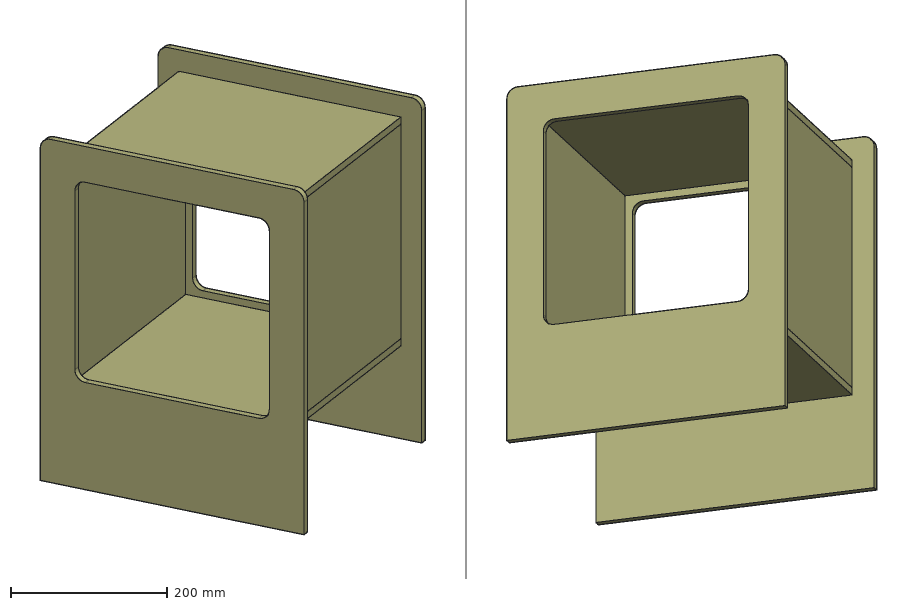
import cadquery as cq

plate_width = 380.0
plate_height = 480.0
overall_depth = 340.0

board_thickness = 10.0
plate_corner_radius = 15.0

duct_size = 320.0
duct_drop = 30.0
duct_length = overall_depth - 2 * board_thickness
duct_center_z = plate_height - duct_drop - duct_size / 2

window_size = 280.0
window_corner_radius = 15.0

plate_offset = (overall_depth - board_thickness) / 2
panel_offset = (duct_size - board_thickness) / 2


def make_end_plate(center_y):
    """Upright plate with rounded top corners and a rounded square window."""
    plate = (
        cq.Workplane("XY")
        .box(plate_width, board_thickness, plate_height)
        .translate((0, center_y, plate_height / 2))
        .edges("|Y and >Z")
        .fillet(plate_corner_radius)
    )
    window = (
        cq.Workplane("XY")
        .box(window_size, board_thickness, window_size)
        .edges("|Y")
        .fillet(window_corner_radius)
        .translate((0, center_y, duct_center_z))
    )
    return plate.cut(window)


def make_horizontal_panel(center_z):
    """Top or bottom of the duct, covering its full width."""
    return (
        cq.Workplane("XY")
        .box(duct_size, duct_length, board_thickness)
        .translate((0, 0, center_z))
    )


def make_side_panel(center_x):
    """Side of the duct, fitted between the top and bottom panels."""
    side_height = duct_size - 2 * board_thickness
    return (
        cq.Workplane("XY")
        .box(board_thickness, duct_length, side_height)
        .translate((center_x, 0, duct_center_z))
    )


bodies = []
for side in (-1, 1):
    end_plate = make_end_plate(side * plate_offset)
    horizontal_panel = make_horizontal_panel(duct_center_z + side * panel_offset)
    side_panel = make_side_panel(side * panel_offset)
    bodies += [end_plate.val(), horizontal_panel.val(), side_panel.val()]

result = cq.Compound.makeCompound(bodies)